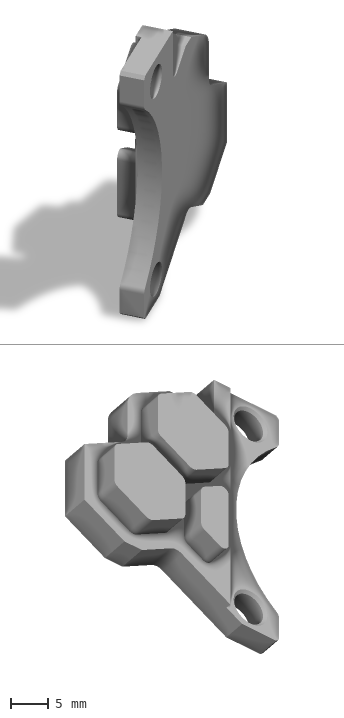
import cadquery as cq
import math

height = 39.5
width = 33.25
depth = 8.0
pad_height = 3.7
step_depth = 0.83
step_y = 8.8

corner_chamfer = 0.47
arm_inner_y = 11.55
foot_y = 6.2
cutout_depth = 7.2
cutout_radius = 18.8
cutout_z = 19.55
cutout_tip_fillet = 1.0

hole_diameter = 4.8
hole_chamfer = 0.415
hole_y = 4.78
hole_mid_z = 19.67
hole_spacing = 32.1

hexagon_flats = 11.9
upper_pad_y = 17.85
upper_pad_z = 24.75
pad_pitch = 14.55
pad_fillet = 1.2
sharp_pad_fillet = 1.0

upper_side_y = 26.07
upper_flat_z = 33.7
upper_flat_start_y = 16.65
upper_flat_end_y = 18.95
lower_side_bottom_z = 7.25
lower_side_top_z = 17.02
lower_flat_z = 3.4
large_fillet = 3.35
inner_fillet = 1.75
notch_fillet = 1.2

slope = math.tan(math.radians(30))
lower_pad_z = upper_pad_z - pad_pitch * math.cos(math.radians(30))
lower_pad_y = upper_pad_y + pad_pitch / 2
half_pad_y = upper_pad_y - pad_pitch / 2


def prism(points, x_start, length):
    """Extrude a closed (Y, Z) outline along +X."""
    return cq.Workplane("YZ", origin=(x_start, 0, 0)).polyline(points).close().extrude(length)


def round_edge(body, y, z, radius):
    """Round the X-directed edge nearest to (y, z)."""
    return body.edges("|X").edges(cq.selectors.NearestToPointSelector((depth / 2, y, z))).fillet(radius)


def hexagonal_pad(y, z):
    radius = hexagon_flats / math.sqrt(3)
    angles = [math.radians(30 + 60 * i) for i in range(6)]
    points = [(y + radius * math.cos(a), z + radius * math.sin(a)) for a in angles]
    return prism(points, 0, pad_height)


def make_plate():
    notch_z = upper_flat_z - slope * (upper_flat_start_y - arm_inner_y)
    shoulder_z = upper_flat_z - slope * (upper_side_y - upper_flat_end_y)
    waist_z = lower_side_top_z + slope * (width - upper_side_y)
    valley_z = slope * (upper_pad_y - foot_y)
    lower_flat_start_y = upper_pad_y + (valley_z - lower_flat_z) / slope
    lower_flat_end_y = width - (lower_side_bottom_z - lower_flat_z) / slope
    outline = [
        (0, corner_chamfer),
        (corner_chamfer, 0),
        (foot_y, 0),
        (upper_pad_y, valley_z),
        (lower_flat_start_y, lower_flat_z),
        (lower_flat_end_y, lower_flat_z),
        (width, lower_side_bottom_z),
        (width, lower_side_top_z),
        (upper_side_y, waist_z),
        (upper_side_y, shoulder_z),
        (upper_flat_end_y, upper_flat_z),
        (upper_flat_start_y, upper_flat_z),
        (arm_inner_y, notch_z),
        (arm_inner_y, height),
        (corner_chamfer, height),
        (0, height - corner_chamfer),
    ]
    plate = prism(outline, pad_height, depth - pad_height)
    plate = round_edge(plate, upper_pad_y, valley_z, inner_fillet)
    plate = round_edge(plate, upper_side_y, waist_z, inner_fillet)
    plate = round_edge(plate, arm_inner_y, notch_z, notch_fillet)
    return round_edge(plate, upper_side_y, shoulder_z, large_fillet)


def cut_arc(plate):
    """Cut the shallow circular recess and round its two tips."""
    center_y = cutout_depth - cutout_radius
    cutter = cq.Workplane("YZ").center(center_y, cutout_z).circle(cutout_radius).extrude(depth)
    plate = plate.cut(cutter)
    tip_offset = math.sqrt(cutout_radius**2 - center_y**2)
    for side in (-1, 1):
        plate = round_edge(plate, 0, cutout_z + side * tip_offset, cutout_tip_fillet)
    return plate


def cut_step(plate):
    """Lower the front face along the mounting edge."""
    return plate.cut(cq.Workplane("XY").box(step_depth, step_y, height, centered=False)
                     .translate((pad_height, 0, 0)))


def cut_holes(plate):
    """Drill the mounting holes and chamfer their front rims."""
    face_x = pad_height + step_depth
    rim_radius = hole_diameter / 2 + hole_chamfer
    for side in (-1, 1):
        center = cq.Vector(face_x, hole_y, hole_mid_z + side * hole_spacing / 2)
        axis = cq.Vector(1, 0, 0)
        drill = cq.Solid.makeCylinder(hole_diameter / 2, depth, center, axis)
        rim = cq.Solid.makeCone(rim_radius, hole_diameter / 2, hole_chamfer, center, axis)
        plate = plate.cut(cq.Workplane(drill)).cut(cq.Workplane(rim))
    return plate


def make_pads():
    """Two full hexagons and a third cut off flush with the upper pad."""
    cut_y = upper_pad_y - hexagon_flats / 2
    keep = cq.Workplane("XY").box(pad_height, width, height, centered=False).translate((0, cut_y, 0))
    half_pad = hexagonal_pad(half_pad_y, lower_pad_z).intersect(keep)
    half_pad = half_pad.edges("|X and <Y").fillet(sharp_pad_fillet)
    half_pad = half_pad.edges("|X and >Y").fillet(pad_fillet)
    full_pads = [
        hexagonal_pad(upper_pad_y, upper_pad_z),
        hexagonal_pad(lower_pad_y, lower_pad_z),
    ]
    return [pad.edges("|X").fillet(pad_fillet) for pad in full_pads] + [half_pad]


result = cut_holes(cut_step(cut_arc(make_plate())))
for pad in make_pads():
    result = result.union(pad)